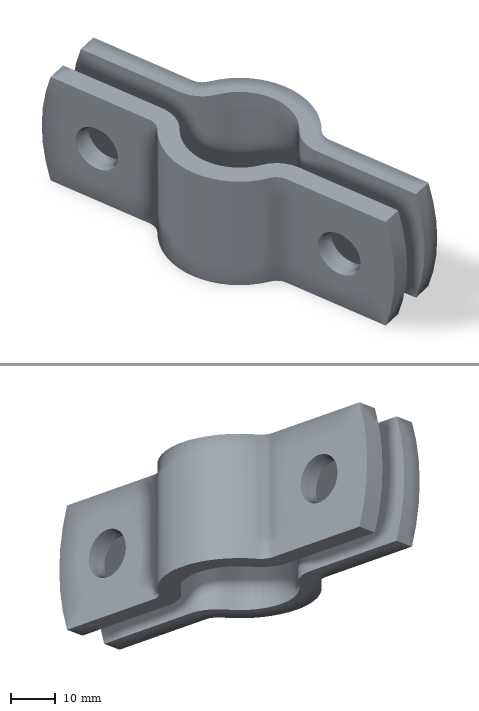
import cadquery as cq
import math

pipe_diameter = 26.9
thickness = 5.0
clamp_length = 96.0
strap_width = 30.0
gap = 7.0
bend_radius = 4.0
hole_diameter = 11.5
hole_spacing = 66.0

end_radius = clamp_length / 2
saddle_inner = pipe_diameter / 2
saddle_outer = saddle_inner + thickness
ear_inner = gap / 2
ear_outer = ear_inner + thickness

bend_y = ear_outer + bend_radius
bend_distance = saddle_outer + bend_radius
bend_x = math.sqrt(bend_distance**2 - bend_y**2)
saddle_end_angle = math.atan2(bend_y, bend_x)
bend_mid_angle = (saddle_end_angle + math.pi / 2) / 2


def saddle_end(radius):
    """Point where the saddle arc of the given radius meets the right-hand bend."""
    return radius * math.cos(saddle_end_angle), radius * math.sin(saddle_end_angle)


def bend_middle(radius):
    """Point halfway along the right-hand bend arc of the given radius."""
    return bend_x - radius * math.cos(bend_mid_angle), bend_y - radius * math.sin(bend_mid_angle)


def mirrored(point):
    """The matching point on the left-hand side."""
    return -point[0], point[1]


def bent_strap():
    """Constant-thickness strap with a saddle bend, lying on the +Y side."""
    half_length = clamp_length / 2
    bend_radius_inner = bend_radius + thickness
    return (
        cq.Workplane("XY")
        .workplane(offset=-strap_width / 2)
        .moveTo(-half_length, ear_outer)
        .lineTo(-bend_x, ear_outer)
        .threePointArc(mirrored(bend_middle(bend_radius)), mirrored(saddle_end(saddle_outer)))
        .threePointArc((0, saddle_outer), saddle_end(saddle_outer))
        .threePointArc(bend_middle(bend_radius), (bend_x, ear_outer))
        .lineTo(half_length, ear_outer)
        .lineTo(half_length, ear_inner)
        .lineTo(bend_x, ear_inner)
        .threePointArc(bend_middle(bend_radius_inner), saddle_end(saddle_inner))
        .threePointArc((0, saddle_inner), mirrored(saddle_end(saddle_inner)))
        .threePointArc(mirrored(bend_middle(bend_radius_inner)), (-bend_x, ear_inner))
        .lineTo(-half_length, ear_inner)
        .close()
        .extrude(strap_width)
    )


def rod_along_y(x, radius):
    """Cylinder parallel to Y that passes right through the +Y half."""
    return cq.Workplane("XZ").center(x, 0).circle(radius).extrude(-saddle_outer)


def clamp_half(rotation):
    """One clamp half, turned about the pipe axis by the given angle in degrees."""
    half = bent_strap().intersect(rod_along_y(0, end_radius))
    for x in (-hole_spacing / 2, hole_spacing / 2):
        half = half.cut(rod_along_y(x, hole_diameter / 2))
    return half.rotate((0, 0, 0), (0, 0, 1), rotation)


clamp_halves = [clamp_half(rotation) for rotation in (0, 180)]

result = cq.Compound.makeCompound([half.val() for half in clamp_halves])